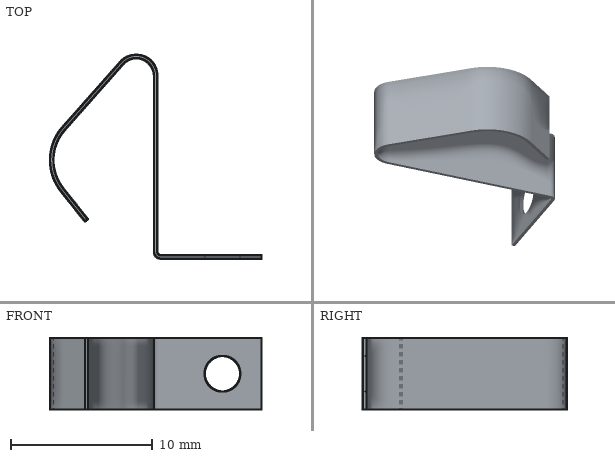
import cadquery as cq
import math

length = 14.99
depth = 14.45
strip_width = 5.08
thickness = 0.25

wall_outer_x = 7.61
bend_outer_radius = 0.51
hole_diameter = 2.5
hole_x = 12.22

top_radius = 1.5
nose_radius = 3.5
nose_y = 6.99
tip_normal_angle = math.radians(218.5)
tip_length = 2.77

wall_inner_x = wall_outer_x - thickness
top_center = (wall_outer_x - top_radius, depth - top_radius)
nose_center = (nose_radius, nose_y)
bend_center = (wall_inner_x + bend_outer_radius, bend_outer_radius)

center_dx = top_center[0] - nose_center[0]
center_dy = top_center[1] - nose_center[1]
center_distance = math.hypot(center_dx, center_dy)
arm_normal_angle = math.atan2(center_dy, center_dx) + math.acos(
    (nose_radius - top_radius) / center_distance
)


def polar(center, radius, angle):
    """Point on a circle."""
    return (center[0] + radius * math.cos(angle), center[1] + radius * math.sin(angle))


def tip_point(inset):
    """Corner of the free end, inset from the outer face of the strip."""
    start = polar(nose_center, nose_radius - inset, tip_normal_angle)
    return polar(start, tip_length, tip_normal_angle + math.pi / 2)


def bend_arc(profile, center, radius, start_angle, end_angle):
    """Add an arc from the current point, which lies at start_angle."""
    middle = polar(center, radius, (start_angle + end_angle) / 2)
    return profile.threePointArc(middle, polar(center, radius, end_angle))


def make_strip():
    """Bent strip, extruded across its width."""
    top_inner = top_radius - thickness
    nose_inner = nose_radius - thickness
    bend_inner = bend_outer_radius - thickness
    down = 1.5 * math.pi

    profile = cq.Workplane("XY").moveTo(length, 0).lineTo(length, thickness)
    profile = profile.lineTo(bend_center[0], thickness)
    profile = bend_arc(profile, bend_center, bend_inner, down, math.pi)
    profile = profile.lineTo(wall_outer_x, top_center[1])

    profile = bend_arc(profile, top_center, top_radius, 0, arm_normal_angle)
    profile = profile.lineTo(*polar(nose_center, nose_radius, arm_normal_angle))
    profile = bend_arc(profile, nose_center, nose_radius, arm_normal_angle, tip_normal_angle)
    profile = profile.lineTo(*tip_point(0))

    profile = profile.lineTo(*tip_point(thickness))
    profile = profile.lineTo(*polar(nose_center, nose_inner, tip_normal_angle))
    profile = bend_arc(profile, nose_center, nose_inner, tip_normal_angle, arm_normal_angle)
    profile = profile.lineTo(*polar(top_center, top_inner, arm_normal_angle))
    profile = bend_arc(profile, top_center, top_inner, arm_normal_angle, 0)

    profile = profile.lineTo(wall_inner_x, bend_center[1])
    profile = bend_arc(profile, bend_center, bend_outer_radius, math.pi, down)
    return profile.close().extrude(strip_width)


def make_hole():
    """Cutter for the mounting hole, running along Y through the flange."""
    return (
        cq.Workplane("XZ")
        .center(hole_x, strip_width / 2)
        .circle(hole_diameter / 2)
        .extrude(-thickness)
    )


result = make_strip().cut(make_hole())